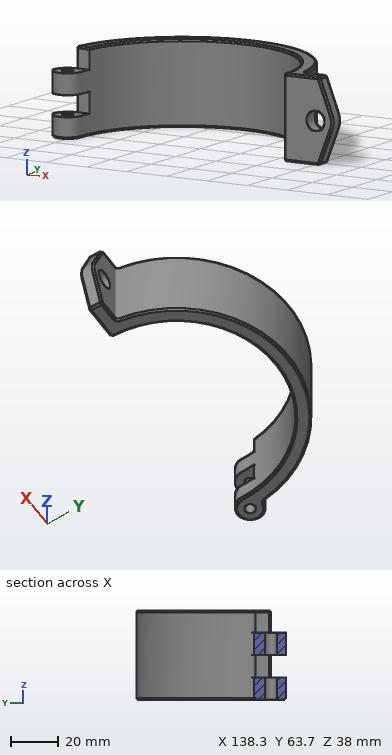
import cadquery as cq
import math

height = 38.0
outer_radius = 57.2
inner_radius = 50.5
edge_chamfer = 0.8

knuckle_radius = 6.5
pin_diameter = 4.8
pin_x = -(inner_radius + knuckle_radius)
knuckle_height = height / 4
end_round = 1.4
knuckle_blend = 1.7

ear_thickness = outer_radius - inner_radius
ear_tip_x = 74.8
ear_tip_radius = 8.6
ear_corner_x = 68.0
bolt_diameter = 8.8
bolt_x = ear_tip_x - ear_tip_radius
ear_root_fillet = 1.4

mid_height = height / 2
size_limit = 2 * ear_tip_x


def on_arc(radius, y):
    """Distance from the arc axis, along X, of a circle point at the given Y."""
    return math.sqrt(radius**2 - y**2)


def make_band():
    """Half-round band with the straight ear, before the ear is pointed."""
    end_y = knuckle_radius
    band = (
        cq.Workplane("XY")
        .moveTo(-on_arc(outer_radius, end_y), end_y)
        .threePointArc((0, outer_radius), (on_arc(outer_radius, ear_thickness), ear_thickness))
        .lineTo(ear_tip_x, ear_thickness)
        .lineTo(ear_tip_x, 0)
        .lineTo(inner_radius, 0)
        .threePointArc((0, inner_radius), (-on_arc(inner_radius, end_y), end_y))
        .close()
        .extrude(height)
    )
    end_corner = cq.selectors.NearestToPointSelector((-outer_radius, end_y, mid_height))
    ear_root = cq.selectors.NearestToPointSelector((outer_radius, ear_thickness, mid_height))
    band = band.edges("|Z").edges(end_corner).fillet(end_round)
    return band.edges("|Z").edges(ear_root).fillet(ear_root_fillet)


def make_ear_silhouette():
    """Block whose +X end tapers to a round tip concentric with the bolt hole."""
    corner_dx = ear_corner_x - bolt_x
    corner_distance = math.hypot(corner_dx, mid_height)
    tangent_angle = math.atan2(mid_height, corner_dx) - math.acos(ear_tip_radius / corner_distance)
    tangent_x = bolt_x + ear_tip_radius * math.cos(tangent_angle)
    tangent_z = ear_tip_radius * math.sin(tangent_angle)
    return (
        cq.Workplane("XZ", origin=(0, 0, mid_height))
        .moveTo(-size_limit, -mid_height)
        .lineTo(ear_corner_x, -mid_height)
        .lineTo(tangent_x, -tangent_z)
        .threePointArc((ear_tip_x, 0), (tangent_x, tangent_z))
        .lineTo(ear_corner_x, mid_height)
        .lineTo(-size_limit, mid_height)
        .close()
        .extrude(size_limit, both=True)
    )


def make_knuckle(base_z):
    """Hinge barrel with a web that continues the end of the band."""
    web_size = 2 * knuckle_radius
    barrel = cq.Workplane("XY").center(pin_x, 0).circle(knuckle_radius).extrude(knuckle_height)
    web = cq.Workplane("XY").box(
        web_size, web_size, knuckle_height, centered=False
    ).translate((pin_x, 0, 0))
    ring = cq.Workplane("XY").circle(outer_radius).circle(inner_radius).extrude(knuckle_height)
    blend_corner = cq.selectors.NearestToPointSelector((pin_x, knuckle_radius, knuckle_height / 2))
    knuckle = barrel.union(web.intersect(ring))
    knuckle = knuckle.edges("|Z").edges(blend_corner).fillet(knuckle_blend)
    return knuckle.translate((0, 0, base_z))


body = make_band().intersect(make_ear_silhouette())
for base_z in (0, 2 * knuckle_height):
    body = body.union(make_knuckle(base_z))

ear_front = cq.selectors.BoxSelector(
    (inner_radius - edge_chamfer, -edge_chamfer, -height),
    (size_limit, edge_chamfer, 2 * height),
)
ear_tip = cq.selectors.BoxSelector(
    (ear_corner_x, -edge_chamfer, -height),
    (size_limit, ear_thickness + edge_chamfer, 2 * height),
)
rims = body.faces("<Z or >Z").edges()
chamfered_edges = rims.add(body.edges(ear_front)).add(body.edges(ear_tip).edges("not |Y"))
body = body.newObject(list(set(chamfered_edges.vals()))).chamfer(edge_chamfer)

bolt_hole = (
    cq.Workplane("XZ", origin=(bolt_x, 0, mid_height))
    .circle(bolt_diameter / 2)
    .extrude(size_limit, both=True)
)
pin_hole = cq.Workplane("XY").center(pin_x, 0).circle(pin_diameter / 2).extrude(height)

result = body.cut(bolt_hole).cut(pin_hole)